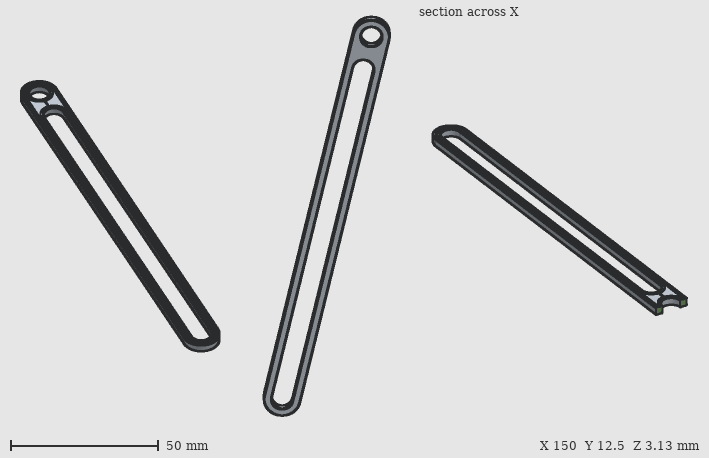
import cadquery as cq

length = 150.0
width = 12.5
thickness = 3.125

opening_width = 7.0
collar_width = 9.2
slot_start_x = 18.75

recess_depth = 0.2
web_width = 0.1

edge_bevel = 0.3

rim_width = (collar_width - opening_width) / 2
end_radius = width / 2
hole_x = end_radius
slot_end_x = length - end_radius


def rounded_bar(start_x, end_x, bar_width, base_z, height):
    """Upright bar with round ends centred on start_x and end_x."""
    centre_distance = end_x - start_x
    return (
        cq.Workplane("XY", origin=((start_x + end_x) / 2, 0, base_z))
        .slot2D(centre_distance + bar_width, bar_width)
        .extrude(height)
    )


def disc(centre_x, diameter, base_z, height):
    """Upright cylinder on the bar's centre line."""
    return cq.Workplane("XY", origin=(centre_x, 0, base_z)).circle(diameter / 2).extrude(height)


def recess():
    """Shallow top pocket inside the outer rim, leaving a collar around each opening."""
    floor_z = thickness - recess_depth
    pocket = rounded_bar(hole_x, slot_end_x, width - 2 * rim_width, floor_z, recess_depth)
    hole_collar = disc(hole_x, collar_width, floor_z, recess_depth)
    slot_collar = rounded_bar(slot_start_x, slot_end_x, collar_width, floor_z, recess_depth)
    web = (
        cq.Workplane("XY", origin=((hole_x + slot_start_x) / 2, 0, floor_z))
        .rect(slot_start_x - hole_x, web_width)
        .extrude(recess_depth)
    )
    return pocket.cut(hole_collar).cut(slot_collar).cut(web)


body = rounded_bar(hole_x, slot_end_x, width, 0, thickness)
round_hole = disc(hole_x, opening_width, 0, thickness)
long_slot = rounded_bar(slot_start_x, slot_end_x, opening_width, 0, thickness)

bevelled_body = body.cut(round_hole).cut(long_slot).faces("<Z or >Z").edges().chamfer(edge_bevel)
result = bevelled_body.cut(recess())